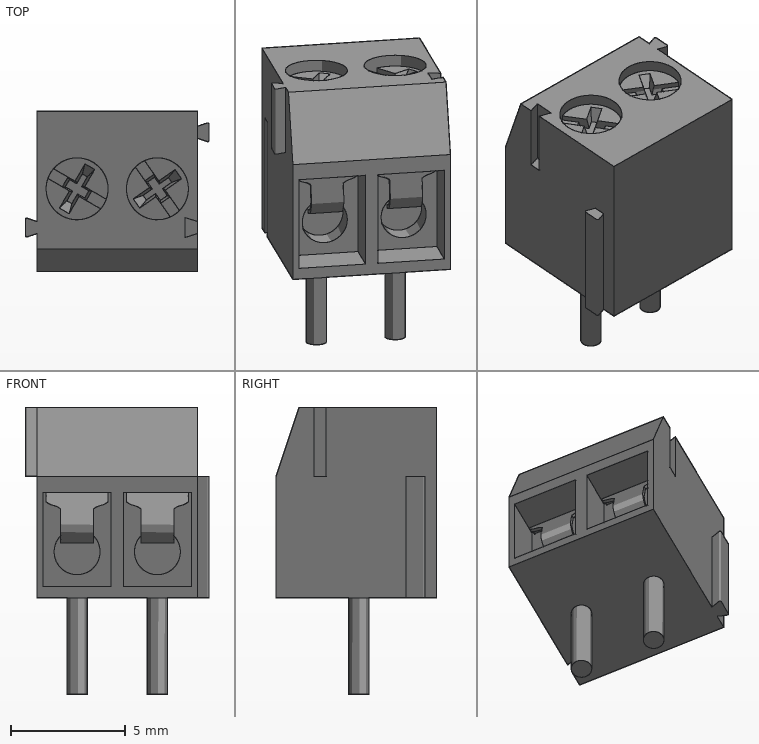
import cadquery as cq
import math

WIDTH = 7.0
DEPTH = 7.0
HEIGHT = 8.3
OVERALL_HEIGHT = 12.5
FRONT_Y = -DEPTH / 2
SLOPE_DEPTH = 1.0
SLOPE_HEIGHT = 3.0
SHOULDER_Z = HEIGHT - SLOPE_HEIGHT

PITCH = 3.5
POLE_XS = (-PITCH / 2, PITCH / 2)
POLE_Y = 0.11

RIB_LENGTH = 0.5
RIB_NECK = 0.54
RIB_TIP = 0.88
RIB_TIP_FILLET = 0.06
GROOVE_MOUTH = 0.52
GROOVE_FLOOR = 0.86
GROOVE_DEPTH = 0.54
UPPER_DOVETAIL_Y = FRONT_Y + 1.92
LOWER_DOVETAIL_Y = DEPTH / 2 - 0.92

ENTRY_WIDTH = 2.95
ENTRY_BOTTOM_Z = 0.5
ENTRY_TOP_Z = 4.59
ENTRY_DEPTH = 1.7
BORE_DIAMETER = 2.0
BORE_Z = 2.01
BORE_DEPTH = 1.0

SCREW_DIAMETER = 2.7
SCREW_RECESS = 0.5
SCREW_TOP_Z = HEIGHT - SCREW_RECESS
SCREW_ARM_ANGLES = (60.0, 35.0)
SLOT_WIDTH = 0.49
SLOT_DEPTH = 0.22
CROSS_DEPTH = 2 * SLOT_DEPTH
ARM_NARROWING = 0.119
ARM_TOP_LENGTH = 2.22
ARM_MIDDLE_LENGTH = 1.78
ARM_FLOOR_LENGTH = 1.35
CENTRE_TOP_LENGTH = 1.2
CENTRE_FLOOR_LENGTH = 0.98

PIN_DIAMETER = 0.9
PIN_BOTTOM_Z = HEIGHT - OVERALL_HEIGHT
SHEET = 0.15
PLATE_WIDTH = 2.7
PLATE_BACK_Y = POLE_Y + PIN_DIAMETER / 2
TONGUE_WIDTH = 1.44
SHOULDER_TOP_Z = 4.19
SHOULDER_BOTTOM_Z = 3.88
SHOULDER_SAG = 0.02
GUARD_TILT = math.radians(10.6)
BEND_RADIUS = 0.36
BEND_Y = FRONT_Y + 1.61
CURL_RADIUS = 0.75
CURL_BOTTOM_Z = 2.4


def dovetail(inner_width, outer_width, length, bottom_z, top_z, tip_fillet=0.0):
    """Upright dovetail prism that widens along +X from its narrow face at X = 0."""
    prism = (
        cq.Workplane("XY", origin=(0, 0, bottom_z))
        .moveTo(0, -inner_width / 2)
        .lineTo(length, -outer_width / 2)
        .lineTo(length, outer_width / 2)
        .lineTo(0, inner_width / 2)
        .close()
        .extrude(top_z - bottom_z)
    )
    if tip_fillet:
        prism = prism.faces(">X").edges("|Z").fillet(tip_fillet)
    return prism


def make_rib(bottom_z, top_z):
    return dovetail(RIB_NECK, RIB_TIP, RIB_LENGTH, bottom_z, top_z, RIB_TIP_FILLET)


def make_groove(bottom_z, top_z):
    return dovetail(GROOVE_MOUTH, GROOVE_FLOOR, GROOVE_DEPTH, bottom_z, top_z)


def turned_to_left(prism):
    return prism.rotate((0, 0, 0), (0, 0, 1), 180)


def wire_entry(x):
    """Rectangular opening in the front face with a blind bore in its back wall."""
    back_y = FRONT_Y + ENTRY_DEPTH
    opening = cq.Workplane("XY").box(
        ENTRY_WIDTH, ENTRY_DEPTH, ENTRY_TOP_Z - ENTRY_BOTTOM_Z, centered=(True, False, False)
    ).translate((x, FRONT_Y, ENTRY_BOTTOM_Z))
    bore = (
        cq.Workplane("XZ", origin=(x, back_y, BORE_Z))
        .circle(BORE_DIAMETER / 2)
        .extrude(-BORE_DEPTH)
    )
    return opening.union(bore)


def upright_cylinder(diameter, x, bottom_z, top_z):
    return (
        cq.Workplane("XY", origin=(x, POLE_Y, bottom_z))
        .circle(diameter / 2)
        .extrude(top_z - bottom_z)
    )


def guard_profile():
    """Side outline of the bent sheet: plate, front bend, sloping guard and inward curl."""
    plate_top_z = ENTRY_TOP_Z
    bend_centre = (BEND_Y, plate_top_z - BEND_RADIUS)
    curl_centre_z = CURL_BOTTOM_Z + CURL_RADIUS
    radius_gain = CURL_RADIUS - BEND_RADIUS
    drop = bend_centre[1] - curl_centre_z - radius_gain * math.sin(GUARD_TILT)
    curl_centre = (
        BEND_Y + radius_gain * math.cos(GUARD_TILT) - drop * math.tan(GUARD_TILT),
        curl_centre_z,
    )

    def on_arc(centre, radius, tilt):
        return (centre[0] - radius * math.cos(tilt), centre[1] + radius * math.sin(tilt))

    up = math.pi / 2
    bend_middle = (up + GUARD_TILT) / 2
    curl_middle = (GUARD_TILT - up) / 2
    bend_inner = BEND_RADIUS - SHEET
    curl_inner = CURL_RADIUS - SHEET
    return (
        cq.Workplane("YZ")
        .moveTo(PLATE_BACK_Y, plate_top_z)
        .lineTo(*on_arc(bend_centre, BEND_RADIUS, up))
        .threePointArc(
            on_arc(bend_centre, BEND_RADIUS, bend_middle),
            on_arc(bend_centre, BEND_RADIUS, GUARD_TILT),
        )
        .lineTo(*on_arc(curl_centre, CURL_RADIUS, GUARD_TILT))
        .threePointArc(
            on_arc(curl_centre, CURL_RADIUS, curl_middle),
            on_arc(curl_centre, CURL_RADIUS, -up),
        )
        .lineTo(*on_arc(curl_centre, curl_inner, -up))
        .threePointArc(
            on_arc(curl_centre, curl_inner, curl_middle),
            on_arc(curl_centre, curl_inner, GUARD_TILT),
        )
        .lineTo(*on_arc(bend_centre, bend_inner, GUARD_TILT))
        .threePointArc(
            on_arc(bend_centre, bend_inner, bend_middle),
            on_arc(bend_centre, bend_inner, up),
        )
        .lineTo(PLATE_BACK_Y, plate_top_z - SHEET)
        .close()
    )


def guard_outline():
    """Front outline of the sheet: full width above, narrowing through S curves to the tongue."""
    half_plate = PLATE_WIDTH / 2
    half_tongue = TONGUE_WIDTH / 2
    middle_x = (half_plate + half_tongue) / 2
    middle_z = (SHOULDER_TOP_Z + SHOULDER_BOTTOM_Z) / 2
    outer_crest = ((half_plate + middle_x) / 2, (SHOULDER_TOP_Z + middle_z) / 2 - SHOULDER_SAG)
    inner_crest = ((half_tongue + middle_x) / 2, (SHOULDER_BOTTOM_Z + middle_z) / 2 + SHOULDER_SAG)
    return (
        cq.Workplane("XZ", origin=(0, FRONT_Y, 0))
        .moveTo(0, ENTRY_TOP_Z)
        .lineTo(half_plate, ENTRY_TOP_Z)
        .lineTo(half_plate, SHOULDER_TOP_Z)
        .threePointArc(outer_crest, (middle_x, middle_z))
        .threePointArc(inner_crest, (half_tongue, SHOULDER_BOTTOM_Z))
        .lineTo(half_tongue, CURL_BOTTOM_Z)
        .lineTo(0, CURL_BOTTOM_Z)
        .mirrorY()
    )


def make_contact(x):
    sheet = guard_profile().extrude(PLATE_WIDTH / 2, both=True)
    sheet = sheet.intersect(guard_outline().extrude(-DEPTH)).translate((x, 0, 0))
    pin = upright_cylinder(PIN_DIAMETER, x, PIN_BOTTOM_Z, ENTRY_TOP_Z)
    return sheet.union(pin)


def tapered_pocket(top_depth, top_size, bottom_depth, bottom_size):
    """Four-sided pocket between two depths below Z = 0, with sloping walls."""
    return (
        cq.Workplane("XY", origin=(0, 0, -top_depth))
        .rect(*top_size)
        .workplane(offset=top_depth - bottom_depth)
        .rect(*bottom_size)
        .loft(ruled=True)
    )


def screw_drive():
    """Slot along Y combined with a cross recess whose long arms lie along X."""
    slot = cq.Workplane("XY").box(
        SLOT_WIDTH, SCREW_DIAMETER, SLOT_DEPTH, centered=(True, True, False)
    ).translate((0, 0, -SLOT_DEPTH))
    middle_width = SLOT_WIDTH - ARM_NARROWING
    floor_width = middle_width - ARM_NARROWING
    upper_arms = tapered_pocket(
        0, (ARM_TOP_LENGTH, SLOT_WIDTH), SLOT_DEPTH, (ARM_MIDDLE_LENGTH, middle_width)
    )
    lower_arms = tapered_pocket(
        SLOT_DEPTH, (ARM_MIDDLE_LENGTH, middle_width), CROSS_DEPTH, (ARM_FLOOR_LENGTH, floor_width)
    )
    short_arms = tapered_pocket(
        SLOT_DEPTH, (SLOT_WIDTH, CENTRE_TOP_LENGTH), CROSS_DEPTH, (middle_width, CENTRE_FLOOR_LENGTH)
    )
    return slot.union(upper_arms).union(lower_arms).union(short_arms)


def make_screw(x, arm_angle):
    drive = screw_drive().rotate((0, 0, 0), (0, 0, 1), arm_angle)
    body = upright_cylinder(SCREW_DIAMETER, x, ENTRY_TOP_Z, SCREW_TOP_Z)
    return body.cut(drive.translate((x, POLE_Y, SCREW_TOP_Z)))


def make_housing(contacts):
    half_width = WIDTH / 2
    body = (
        cq.Workplane("YZ", origin=(-half_width, 0, 0))
        .moveTo(FRONT_Y, 0)
        .lineTo(DEPTH / 2, 0)
        .lineTo(DEPTH / 2, HEIGHT)
        .lineTo(FRONT_Y + SLOPE_DEPTH, HEIGHT)
        .lineTo(FRONT_Y, SHOULDER_Z)
        .close()
        .extrude(WIDTH)
    )
    upper_rib = turned_to_left(make_rib(SHOULDER_Z, HEIGHT))
    body = body.union(upper_rib.translate((-half_width, UPPER_DOVETAIL_Y, 0)))
    body = body.union(make_rib(0, SHOULDER_Z).translate((half_width, LOWER_DOVETAIL_Y, 0)))
    upper_groove = turned_to_left(make_groove(SHOULDER_Z, HEIGHT))
    body = body.cut(upper_groove.translate((half_width, UPPER_DOVETAIL_Y, 0)))
    body = body.cut(make_groove(0, SHOULDER_Z).translate((-half_width, LOWER_DOVETAIL_Y, 0)))
    for x, contact in zip(POLE_XS, contacts):
        body = body.cut(wire_entry(x))
        body = body.cut(upright_cylinder(SCREW_DIAMETER, x, ENTRY_TOP_Z, HEIGHT))
        body = body.cut(contact)
    return body


contacts = [make_contact(x) for x in POLE_XS]
screws = [make_screw(x, angle) for x, angle in zip(POLE_XS, SCREW_ARM_ANGLES)]
housing = make_housing(contacts)

result = cq.Compound.makeCompound(
    [
        housing.val(),
        *[contact.val() for contact in contacts],
        *[screw.val() for screw in screws],
    ]
)